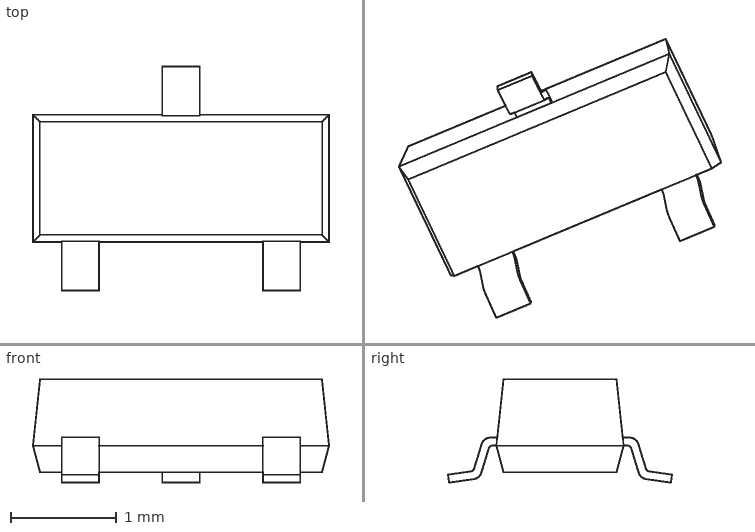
import cadquery as cq
import math

housing_length = 2.8
housing_width = 1.205
taper_inset = 0.067
housing_bottom = 0.098
parting_height = 0.35
housing_top = 0.98

lead_span = 2.12
lead_width = 0.355
lead_pitch = 1.9
lead_thickness = 0.078
shin_angle = math.radians(73)
foot_angle = math.radians(8)
knee_reach = 0.12
inner_bend_radius = 0.035
outer_bend_radius = 0.092


def make_taper(end_height):
    """Frustum from the parting plane to a smaller rectangle at end_height."""
    return (
        cq.Workplane("XY")
        .workplane(offset=parting_height)
        .rect(housing_length, housing_width)
        .workplane(offset=end_height - parting_height)
        .rect(housing_length - 2 * taper_inset, housing_width - 2 * taper_inset)
        .loft(combine=True)
    )


def make_housing():
    return make_taper(housing_top).union(make_taper(housing_bottom))


def make_lead_strip():
    """Lead centred on X = 0, pointing to +Y, its root running in under the housing taper."""
    root_y = housing_width / 2 - taper_inset
    root_top = parting_height + lead_thickness
    knee_y = housing_width / 2 + knee_reach
    tip_y = lead_span / 2
    tip_z = lead_thickness * math.cos(foot_angle)

    shin_slope = math.tan(shin_angle)
    foot_slope = math.tan(foot_angle)
    knee_to_ankle = (root_top - tip_z - foot_slope * (tip_y - knee_y)) / (shin_slope - foot_slope)
    ankle_y = knee_y + knee_to_ankle
    ankle_z = root_top - shin_slope * knee_to_ankle

    knee_shift = lead_thickness * math.tan(shin_angle / 2)
    ankle_mitre = (shin_angle + foot_angle) / 2
    ankle_shift = lead_thickness / math.cos((shin_angle - foot_angle) / 2)

    knee_top = (knee_y, root_top)
    knee_bottom = (knee_y - knee_shift, parting_height)
    ankle_top = (ankle_y, ankle_z)
    ankle_bottom = (
        ankle_y - ankle_shift * math.sin(ankle_mitre),
        ankle_z - ankle_shift * math.cos(ankle_mitre),
    )
    outline = [
        (root_y, root_top),
        knee_top,
        ankle_top,
        (tip_y, tip_z),
        (tip_y - lead_thickness * math.sin(foot_angle), 0),
        ankle_bottom,
        knee_bottom,
        (root_y, parting_height),
    ]
    strip = cq.Workplane("YZ").polyline(outline).close().extrude(lead_width / 2, both=True)

    bends = [
        (knee_top, outer_bend_radius),
        (knee_bottom, inner_bend_radius),
        (ankle_top, inner_bend_radius),
        (ankle_bottom, outer_bend_radius),
    ]
    for (corner_y, corner_z), radius in bends:
        at_corner = cq.selectors.NearestToPointSelector((0, corner_y, corner_z))
        strip = strip.edges("|X").edges(at_corner).fillet(radius)
    return strip


def make_lead(x, facing):
    """Lead at the given X, turned by facing degrees about Z from +Y, its root flush on the housing wall."""
    strip = make_lead_strip().rotate((0, 0, 0), (0, 0, 1), facing).translate((x, 0, 0))
    return strip.cut(housing)


housing = make_housing()

lead_places = [(0, 0), (-lead_pitch / 2, 180), (lead_pitch / 2, 180)]
leads = [make_lead(x, facing) for x, facing in lead_places]

result = cq.Compound.makeCompound([housing.val(), *[solid for lead in leads for solid in lead.solids().vals()]])